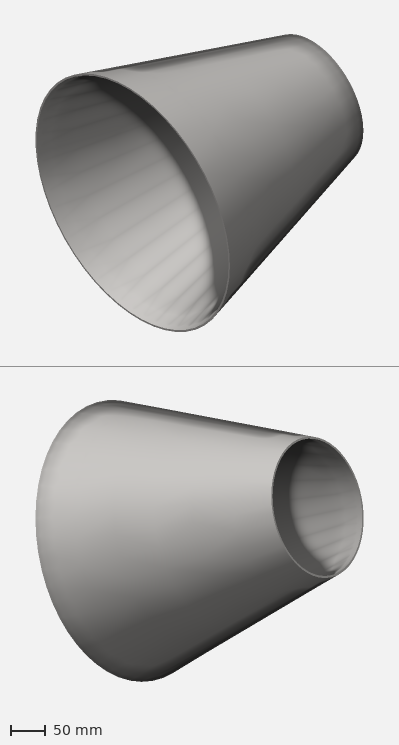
import cadquery as cq

large_diameter = 406.5
small_diameter = 204.0
length = 356.0
wall = 3.0

large_radius = large_diameter / 2
small_radius = small_diameter / 2

wall_section = (
    cq.Workplane("XY")
    .moveTo(large_radius - wall, 0)
    .lineTo(large_radius, 0)
    .lineTo(small_radius, length)
    .lineTo(small_radius - wall, length)
    .close()
)

result = wall_section.revolve(360, (0, 0, 0), (0, 1, 0))